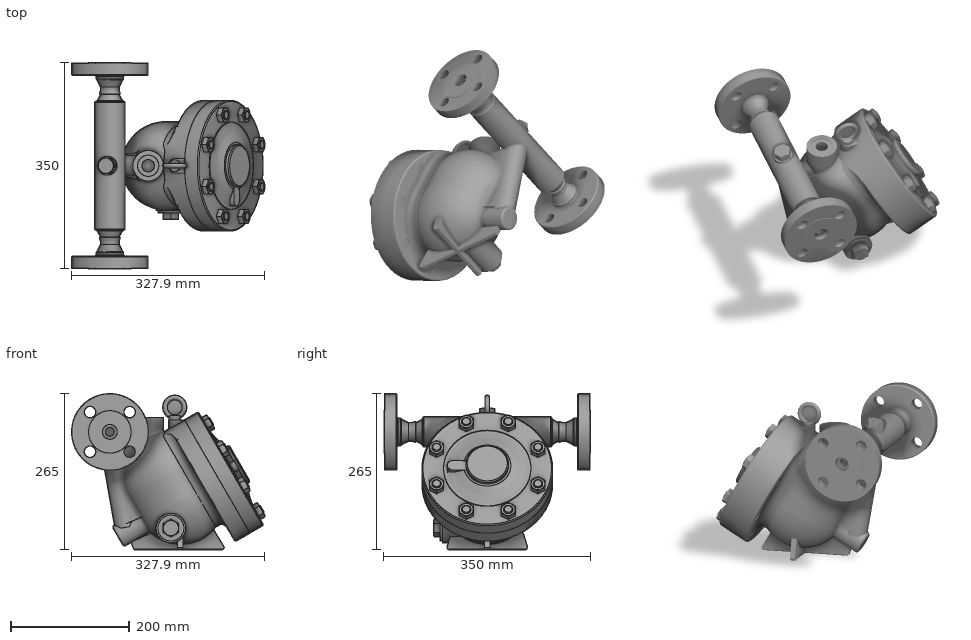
import cadquery as cq
import math


contact_tolerance = 1e-3

face_to_face = 350.0
pipe_d = 52.0
pipe_half_length = 109.0
pipe_edge = 1.5
reducer_d = 43.0
reducer_end = 120.5
weld_bead_d = 35.5
weld_bead_y = 128.0
weld_neck_d = 32.0
weld_neck_y = 133.5
hub_y = 147.0
hub_d = 47.0
hub_edge = 1.5

flange_d = 130.0
flange_thickness = 21.0
raised_face_d = 72.0
raised_face_height = 1.0
flange_edge = 1.5
flange_bolt_circle = 95.0
flange_hole_d = 19.0
flange_hole_count = 4
socket_d = 25.0
socket_depth = 10.0
bore_d = 15.0
bore_depth = 30.0

joint_tilt = 30.0
joint_x = 182.0
joint_z = -75.5
joint_d = 222.0
body_flange_thickness = 29.0
body_flange_edge = 3.0
cover_thickness = 27.0
cover_edge = 2.0
stud_circle = 186.0
stud_count = 8
stud_d = 16.0
stud_recess = 1.0
stud_protrusion = 1.6
stud_tip_edge = 1.5
nut_width = 24.0
nut_height = 10.0
hex_edge = 1.2
hex_sides = 6
corner_ratio = 2 / math.sqrt(3)

chamber_r = 75.0
chamber_low = -4.0
chamber_high = 46.0
chamber_depth = 74.0
neck_length = 40.0
neck_r = 69.2
neck_fillet = 10.0

crown_rim_d = 148.0
crown_rim_height = 1.5
crown_step_d = 136.0
crown_shoulder_d = 112.0
crown_shoulder_height = 4.0
crown_top_d = 80.0
crown_top_height = 10.0
cap_d = 72.0
cap_height = 17.0
cap_edge = 2.0
lug_width = 18.0
lug_reach = 68.0
lug_height = 11.0

leg_d = 40.0
leg_tilt = 10.0
leg_length = 164.0
leg_fillet = 3.0
web_width = 40.0
web_fillet = 10.0
web_start = 30.0
web_end = 158.0
web_top_z = -15.0
web_side_margin = 0.1
pocket_d = 40.0
pocket_end = 196.7
pocket_edge = 4.0
passage_d = 36.0

plug_washer_d = 32.0
plug_washer_top = 27.5
plug_head_top = 39.2
plug_head_width = 26.0
top_boss_d = 52.0
top_boss_x = 65.0
top_boss_z = 24.5
top_boss_length = 75.0
boss_fillet = 4.0
top_recess_d = 36.0
top_recess_depth = 1.0
top_hole_d = 21.0
top_hole_depth = 25.0
drain_x = 103.5
drain_z = -163.0
drain_boss_d = 50.0
drain_boss_y = -76.0
drain_collar_d = 44.0
drain_collar_y = -80.0
drain_head_y = -91.0

eye_x = 110.0
eye_boss_d = 25.0
eye_boss_x = 112.0
eye_boss_top = 20.0
eye_boss_depth = 40.0
eye_pad_length = 15.0
eye_collar_d = 20.0
eye_collar_top = 28.0
eye_collar_edge = 2.0
eye_ring_z = 41.8
eye_ring_r = 16.5
eye_wire_d = 8.0
eye_web_thickness = 1.0

foot_bottom = -200.0
foot_thickness = 9.0
foot_center_x = 119.5
foot_edge = 1.5
foot_toe_height = 4.5
long_foot_left = 36.0
long_foot_right = 194.0
long_foot_slope = 17.0
foot_top = -167.0
foot_root = -155.0
foot_notch_x = 27.0
foot_notch_z = -174.0
cross_foot_half = 68.5
cross_foot_top_half = 56.0

tilt = math.radians(joint_tilt)
axis = cq.Vector(math.cos(tilt), 0, math.sin(tilt))
upslope = cq.Vector(-math.sin(tilt), 0, math.cos(tilt))
joint_center = cq.Vector(joint_x, 0, joint_z)
chamber_mid = (chamber_low + chamber_high) / 2
chamber_span = chamber_high - chamber_low
leg_rad = math.radians(leg_tilt)
leg_axis = cq.Vector(math.sin(leg_rad), 0, -math.cos(leg_rad))
leg_side = cq.Vector(math.cos(leg_rad), 0, math.sin(leg_rad))
ring_angles = [(k + 0.5) * 360 / stud_count for k in range(stud_count)]


def joint_plane(along=0.0, up=0.0):
    """Workplane square to the joint axis; its local x runs up the slope."""
    origin = joint_center + axis * along + upslope * up
    return cq.Workplane(cq.Plane(origin=origin, xDir=upslope, normal=axis))


def hex_head(plane, width, height, edge):
    """Hexagon prism with its outer corners chamfered round."""
    across_corners = width * corner_ratio
    head = plane.polygon(hex_sides, across_corners).extrude(height)
    turned = plane.circle(across_corners / 2).extrude(height)
    outer_face = turned.faces(cq.DirectionMinMaxSelector(plane.plane.zDir, True))
    turned = outer_face.chamfer(edge, edge * math.sqrt(3))
    return head.intersect(turned)


def make_pipe():
    face_y = face_to_face / 2
    front_y = face_y - raised_face_height
    back_y = front_y - flange_thickness
    half = [
        (0, 0),
        (pipe_d / 2, 0),
        (pipe_d / 2, pipe_half_length - pipe_edge),
        (pipe_d / 2 - pipe_edge, pipe_half_length),
        (reducer_d / 2, pipe_half_length + pipe_edge),
        (weld_neck_d / 2, reducer_end),
        (weld_bead_d / 2, reducer_end + hub_edge),
        (weld_neck_d / 2, weld_bead_y),
        (weld_neck_d / 2, weld_neck_y),
        (hub_d / 2 - hub_edge, hub_y - hub_edge),
        (hub_d / 2, hub_y),
        (hub_d / 2, back_y - hub_edge),
        (hub_d / 2 + hub_edge, back_y),
        (flange_d / 2 - flange_edge, back_y),
        (flange_d / 2, back_y + flange_edge),
        (flange_d / 2, front_y),
        (raised_face_d / 2, front_y),
        (raised_face_d / 2, face_y),
        (0, face_y),
    ]
    side = cq.Workplane("XY").polyline(half).close().revolve(360, (0, 0), (0, 1))
    face = cq.Workplane("XZ", origin=(0, face_y, 0))
    side = side.cut(face.polarArray(flange_bolt_circle / 2, 180 / flange_hole_count, 360, flange_hole_count)
                    .circle(flange_hole_d / 2).extrude(flange_thickness + raised_face_height))
    side = side.cut(face.circle(socket_d / 2).extrude(socket_depth))
    side = side.cut(face.circle(bore_d / 2).extrude(bore_depth))
    return side.union(side.mirror("XZ"))


def stadium(along, radius, length):
    """Prism along the joint axis whose end arcs are centered on the two capsule ends."""
    return joint_plane(along, chamber_mid).slot2D(chamber_span + 2 * radius, 2 * radius).extrude(length)


def fuse_with_root(base, added, radius):
    """Union of two solids with a fillet along the edges where their surfaces meet."""
    joined = base.union(added)

    def shared(edge):
        middle = cq.Vertex.makeVertex(*edge.positionAt(0.5).toTuple())
        return max(base.val().distance(middle), added.val().distance(middle)) < contact_tolerance

    roots = [edge for edge in joined.edges().vals() if shared(edge)]
    return joined.newObject(roots).fillet(radius)


def make_capsule():
    base = joint_center - axis * chamber_depth + upslope * chamber_low
    plane = cq.Plane(origin=base.toTuple(), xDir=axis.toTuple(), normal=(0, -1, 0))
    bulge = chamber_r * math.sqrt(0.5)
    return (cq.Workplane(plane).moveTo(0, -chamber_r)
            .threePointArc((bulge, -bulge), (chamber_r, 0))
            .lineTo(chamber_r, chamber_span)
            .threePointArc((bulge, chamber_span + bulge), (0, chamber_span + chamber_r))
            .close().revolve(360, (0, 0), (0, 1)))


def make_neck():
    """Stadium-section neck that flares into the round body flange, trimmed to the flange diameter."""
    plate = joint_plane(-body_flange_thickness).circle(joint_d).extrude(body_flange_thickness)
    neck = plate.union(stadium(-chamber_depth, neck_r, chamber_depth - body_flange_thickness))
    inner_wires = [wire for face in neck.faces().vals() for wire in face.innerWires()]
    root_edges = [edge for wire in inner_wires for edge in wire.Edges()]
    neck = neck.newObject(root_edges).fillet(neck_fillet)
    flare = stadium(-chamber_depth, neck_r + neck_fillet, chamber_depth)
    neck = neck.intersect(flare).intersect(joint_plane().circle(joint_d / 2).extrude(-chamber_depth))
    disc = joint_plane().circle(joint_d / 2).extrude(-body_flange_thickness)
    disc = disc.faces(cq.DirectionMinMaxSelector(axis, False)).edges().fillet(body_flange_edge)
    return disc.union(neck)


def make_pocket():
    """Strainer pocket reaching out of the lower end of the capsule."""
    pocket = joint_plane(-pocket_end, chamber_low).circle(pocket_d / 2).extrude(pocket_end - chamber_depth)
    return pocket.faces(cq.DirectionMinMaxSelector(axis, False)).edges().fillet(pocket_edge)


def make_leg():
    plane = cq.Plane(origin=(0, 0, 0), xDir=(0, 1, 0), normal=leg_axis.toTuple())
    return cq.Workplane(plane).circle(leg_d / 2).extrude(leg_length)


def make_web():
    """Web between the leg and the capsule; its outer edge lies on the leg axis."""
    upper = leg_axis * web_start
    lower = leg_axis * web_end
    heart = joint_center - axis * chamber_depth + upslope * chamber_low
    outline = [(upper.x, upper.z), (lower.x, lower.z), (heart.x, heart.z), (top_boss_x, web_top_z)]
    return cq.Workplane("XZ").polyline(outline).close().extrude(web_width / 2, both=True)


def fillet_web(body):
    """Round the arcs along which the two flat web sides meet the capsule."""
    arcs = []
    for side in (-web_width / 2, web_width / 2):
        near = (0, side - web_side_margin, joint_z - chamber_r)
        far = (top_boss_x, side + web_side_margin, 0)
        arcs += body.edges(cq.selectors.BoxSelector(near, far, boundingbox=True)).edges("%CIRCLE").vals()
    return body.newObject(arcs).fillet(web_fillet)


def make_top_boss():
    return (cq.Workplane("XY", origin=(top_boss_x, 0, top_boss_z))
            .circle(top_boss_d / 2).extrude(-top_boss_length))


def make_chamber():
    """Capsule with its top boss, strainer pocket and web, opened onto the neck."""
    capsule = make_capsule()
    chamber = fuse_with_root(capsule, make_top_boss(), boss_fillet)
    chamber = fuse_with_root(chamber, make_pocket(), boss_fillet)
    chamber = chamber.union(fillet_web(capsule.union(make_web())))
    beyond_neck = joint_plane(-neck_length).circle(joint_d).extrude(joint_d)
    return chamber.cut(beyond_neck).union(make_neck()).union(make_top_boss())


def make_passage():
    """Short round link from the pipe to the top boss."""
    return cq.Workplane("YZ", origin=(0, 0, -pipe_d / 2)).circle(passage_d / 2).extrude(top_boss_x)


def cut_top_hole(body):
    top = cq.Workplane("XY", origin=(top_boss_x, 0, top_boss_z))
    body = body.cut(top.circle(top_recess_d / 2).extrude(-top_recess_depth))
    return body.cut(top.circle(top_hole_d / 2).extrude(-top_hole_depth))


def make_pipe_plug():
    up = leg_axis * -1

    def plug_plane(height):
        origin = (up * height).toTuple()
        return cq.Workplane(cq.Plane(origin=origin, xDir=leg_side.toTuple(), normal=up.toTuple()))

    washer = plug_plane(0).circle(plug_washer_d / 2).extrude(plug_washer_top)
    head_height = plug_head_top - plug_washer_top
    head = hex_head(plug_plane(plug_washer_top), plug_head_width, head_height, hex_edge)
    return washer.union(head)


def make_drain():
    def drain_plane(y):
        return cq.Workplane(cq.Plane(origin=(drain_x, y, drain_z), xDir=(0, 0, 1), normal=(0, -1, 0)))

    boss = drain_plane(0).circle(drain_boss_d / 2).extrude(-drain_boss_y)
    collar = drain_plane(drain_boss_y).circle(drain_collar_d / 2).extrude(drain_boss_y - drain_collar_y)
    head = hex_head(drain_plane(drain_collar_y), plug_head_width, drain_collar_y - drain_head_y, hex_edge)
    return boss.union(collar).union(head)


def make_eye_bolt():
    boss_plane = cq.Workplane("XY", origin=(eye_boss_x, 0, eye_boss_top))
    boss = boss_plane.circle(eye_boss_d / 2).extrude(-eye_boss_depth)
    pad = boss_plane.center(eye_pad_length / 2, 0).rect(eye_pad_length, eye_boss_d).extrude(-eye_boss_depth)
    collar = cq.Workplane("XY", origin=(eye_x, 0, eye_boss_top)).circle(eye_collar_d / 2).extrude(
        eye_collar_top - eye_boss_top).faces(">Z").edges().fillet(eye_collar_edge)
    ring_web = (cq.Workplane("XZ", origin=(eye_x, 0, eye_ring_z))
                .circle(eye_ring_r).extrude(eye_web_thickness / 2, both=True))
    torus = cq.Workplane(obj=cq.Solid.makeTorus(eye_ring_r, eye_wire_d / 2, cq.Vector(eye_x, 0, eye_ring_z),
                                                cq.Vector(0, 1, 0)))
    return boss.union(pad).union(collar).union(ring_web).union(torus)


def make_feet():
    heel_z = foot_bottom + foot_toe_height
    long_outline = [
        (long_foot_left, heel_z + 2 * foot_toe_height),
        (long_foot_left + foot_toe_height, foot_bottom),
        (long_foot_right - foot_toe_height / 2, foot_bottom),
        (long_foot_right, heel_z),
        (long_foot_right - long_foot_slope, foot_top),
        (foot_center_x, foot_root),
        (long_foot_left + foot_notch_x, foot_notch_z),
    ]
    cross_outline = [
        (cross_foot_half, heel_z),
        (cross_foot_half - foot_toe_height / 2, foot_bottom),
        (foot_toe_height / 2 - cross_foot_half, foot_bottom),
        (-cross_foot_half, heel_z),
        (-cross_foot_top_half, foot_root),
        (cross_foot_top_half, foot_root),
    ]
    long_foot = cq.Workplane("XZ").polyline(long_outline).close().extrude(foot_thickness / 2, both=True)
    cross_foot = (cq.Workplane("YZ", origin=(foot_center_x, 0, 0))
                  .polyline(cross_outline).close().extrude(foot_thickness / 2, both=True))
    return long_foot.union(cross_foot).faces("<Z").edges().chamfer(foot_edge)


def stud_ring(plane):
    points = [(stud_circle / 2 * math.cos(math.radians(a)), stud_circle / 2 * math.sin(math.radians(a)))
              for a in ring_angles]
    return plane.pushPoints(points)


def make_body():
    body = make_chamber()
    pipe = fuse_with_root(make_pipe(), make_leg(), leg_fillet)
    for feature in (make_passage(), make_drain(), make_eye_bolt(), make_feet(), pipe, make_pipe_plug()):
        body = body.union(feature)
    body = cut_top_hole(body)
    holes = stud_ring(joint_plane()).circle(stud_d / 2).extrude(-body_flange_thickness)
    return body.cut(holes)


def make_cover():
    disc = joint_plane().circle(joint_d / 2).extrude(cover_thickness)
    disc = disc.faces(cq.DirectionMinMaxSelector(axis, True)).edges().chamfer(cover_edge)
    base = cover_thickness
    profile_plane = cq.Plane(origin=joint_center.toTuple(), xDir=upslope.toTuple(), normal=(0, 1, 0))
    profile = [
        (0, base / 2),
        (crown_rim_d / 2, base / 2),
        (crown_rim_d / 2, base + crown_rim_height),
        (crown_step_d / 2, base + crown_rim_height),
        (crown_shoulder_d / 2, base + crown_shoulder_height),
        (crown_top_d / 2, base + crown_top_height),
        (cap_d / 2, base + crown_top_height),
        (cap_d / 2, base + cap_height - cap_edge),
        (cap_d / 2 - cap_edge, base + cap_height),
        (0, base + cap_height),
    ]
    crown = cq.Workplane(profile_plane).polyline(profile).close().revolve(360, (0, 0), (0, 1))
    lug_center = lug_reach - lug_width / 2
    lug_plane = joint_plane(base / 2)
    lug = lug_plane.center(0, lug_center / 2).rect(lug_width, lug_center).extrude(base / 2 + lug_height)
    lug_plane = joint_plane(base / 2)
    lug = lug.union(lug_plane.center(0, lug_center).circle(lug_width / 2).extrude(base / 2 + lug_height))
    cover = disc.union(crown).union(lug)
    stud_bottom = stud_recess - body_flange_thickness
    stud_top = base + nut_height + stud_protrusion
    studs = stud_ring(joint_plane(stud_bottom)).circle(stud_d / 2).extrude(stud_top - stud_bottom)
    studs = studs.faces(cq.DirectionMinMaxSelector(axis, True)).edges().chamfer(stud_tip_edge)
    cover = cover.union(studs)
    for a in ring_angles:
        up = stud_circle / 2 * math.cos(math.radians(a))
        across = stud_circle / 2 * math.sin(math.radians(a))
        plane = joint_plane(base, up).center(0, across)
        cover = cover.union(hex_head(plane, nut_width, nut_height, hex_edge))
    return cover


body = make_body()
cover = make_cover()
result = cq.Compound.makeCompound([*body.vals(), *cover.vals()])